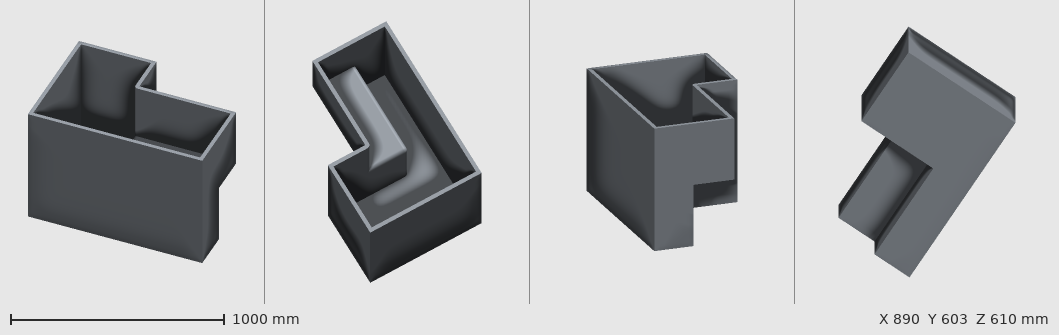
import cadquery as cq

length = 890.0
depth = 603.0
height = 610.0
wall = 20.0

column_width = 396.0
arm_depth = 400.5

recess_front = 198.0
recess_height = height / 2


def box_between(low, high):
    """Axis-aligned box between two opposite corners."""
    size = [end - start for start, end in zip(low, high)]
    return cq.Workplane("XY").box(*size, centered=False).translate(low)


corner_block = box_between(
    (column_width, arm_depth, 0),
    (length, depth, height),
)
recess_block = box_between(
    (column_width, recess_front, 0),
    (length, depth, recess_height),
)

grown_corner = box_between(
    (column_width - wall, arm_depth - wall, 0),
    (length, depth, height),
).edges("|Z and <X and <Y").fillet(wall)

grown_recess = box_between(
    (column_width - wall, recess_front - wall, 0),
    (length, depth, recess_height + wall),
).edges("(|Z and <X and <Y) or (>Z and <X) or (>Z and <Y)").fillet(wall)

cavity = box_between(
    (wall, wall, wall),
    (length - wall, depth - wall, height),
)
cavity = cavity.cut(grown_corner).cut(grown_recess)

outer = box_between((0, 0, 0), (length, depth, height))
outer = outer.cut(corner_block).cut(recess_block)

result = outer.cut(cavity)